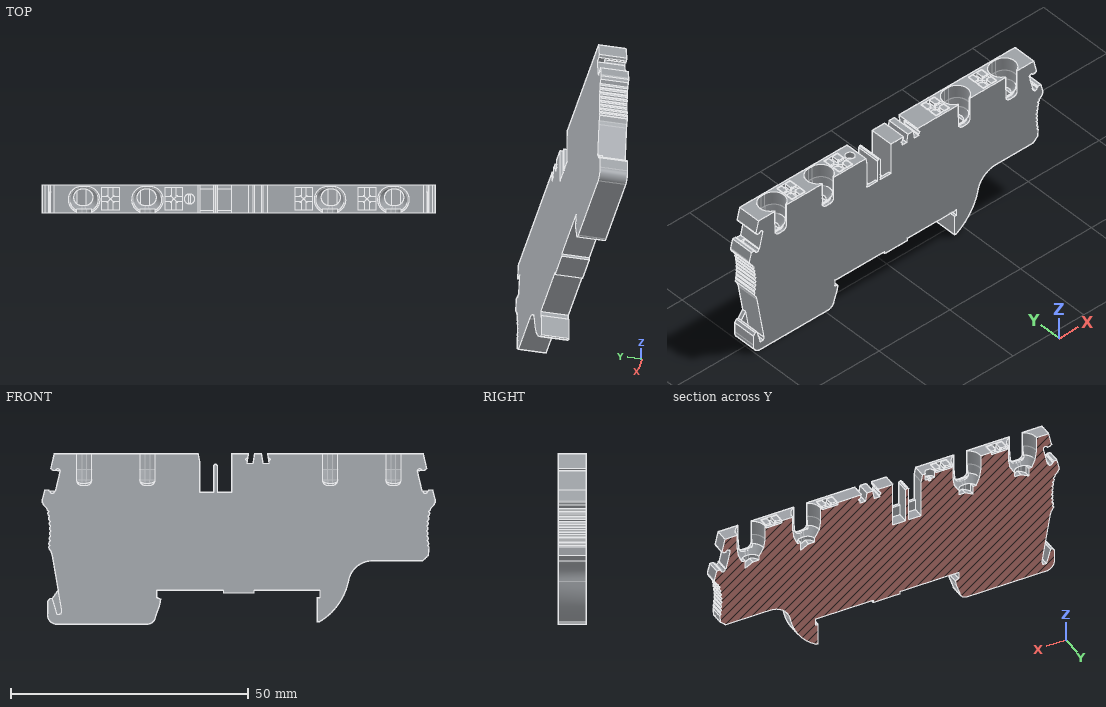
import cadquery as cq
import math

length = 83.0
thickness = 6.0
height = 36.0
end = length / 2
front_y = -thickness / 2
back_y = thickness / 2

grip_top_z = 24.5
grip_bottom_z = 16.3
grip_top_inset = 1.0
grip_bottom_inset = 1.3
grip_hollow = 0.4
tooth_count = 8
tooth_depth = 0.25
tooth_land = 0.35

jaw_profile = [
    (2.6, height), (1.8, 32.9), (2.3, 32.5), (3.8, 32.4), (2.8, 28.15),
    (1.5, 28.15), (1.4, 28.4), (0.6, 28.4), (0.0, 26.15), (0.0, 25.8), (0.3, 25.15),
]
jaw_relief_diameter = 0.9
jaw_relief_centers = [(3.3, 32.4), (2.2, 28.1)]

web = 1.5

rail_z = 7.1
rail_pad_z = 6.6
rail_pad_half = 3.2
lip_z = 5.65
right_floor_z = 13.4

slot_left = -8.2
slot_right = -1.5
slot_floor_z = 27.9
slot_lead = 0.3
slot_lead_depth = 1.7
well_front_wall = 0.6
well_back_wall = 0.9
well_depth = 2.5
blade_x = -4.9
blade_width = 0.8
blade_top_z = 33.8
blade_chamfer = 0.29

groove_center_x = 4.1
groove_rib = 1.5
groove_width = 1.25
groove_lean = 0.3
groove_depth = 2.1
groove_notch = 0.7
groove_notch_half = 0.7
groove_notch_z = 34.8

socket_offsets = [19.3, 32.6]
socket_y = -0.2
socket_size = (6.65, 5.65)
neck_size = (6.0, 5.0)
throat_size = (4.1, 3.5)
funnel_z = 32.6
neck_z = 30.5
throat_z = 28.65
throat_y = 0.3
throat_shift = 0.2
throat_ledge = 0.75
throat_crest = 0.6
throat_shallow = 1.0
throat_deep = 2.0
window_width = 3.15
window_depth = 6.7
window_corner = 1.1
window_inner_y = -2.2

entry_offset = 5.6
entry_length = 3.7
entry_width = 4.7
entry_depth = 0.2
arm_width = 1.0
arm_flare = 1.5
long_arm_depth = 1.0
short_arm_depth = 0.6

test_hole_x = -10.4
test_hole_diameter = 2.2
test_hole_depth = 1.7
test_slit_width = 0.5
test_slit_length = 1.75
test_slit_depth = 0.5

slit_web = 1.0
slit_top_z = 7.2
slit_mouth_x = -39.35
slit_mouth_z = 5.5
foot_x = -40.35
flank_top = (-39.35, 14.45)
flank_bottom = (-37.4, 2.8)


def grip_point(t, depth):
    """Point (inset, z) at fraction t down the grip, cut in by the given depth."""
    inset = grip_top_inset + (grip_bottom_inset - grip_top_inset) * t
    inset += grip_hollow * math.sin(math.pi * t) + depth
    return (inset, grip_top_z + (grip_bottom_z - grip_top_z) * t)


def grip_profile():
    """Teeth from top to bottom: a narrow land followed by a V-shaped valley."""
    points = []
    for i in range(tooth_count):
        points.append(grip_point(i / tooth_count, 0))
        points.append(grip_point((i + tooth_land) / tooth_count, 0))
        points.append(grip_point((i + (1 + tooth_land) / 2) / tooth_count, tooth_depth))
    points.append(grip_point(1, 0))
    return points


def end_points(side):
    """Jaw and grip of one end, from the top downwards."""
    return [(side * (end - inset), z) for inset, z in jaw_profile + grip_profile()]


def prism(sketch, y_from, y_to):
    """Extrude a closed XZ sketch between two Y positions."""
    return sketch.extrude(y_from - y_to).translate((0, y_from, 0))


def xz_polygon(points):
    return cq.Workplane("XZ").polyline(points).close()


def box(x_from, x_to, y_from, y_to, z_from, z_to):
    size = (x_to - x_from, y_to - y_from, z_to - z_from)
    return cq.Workplane("XY").box(*size, centered=False).translate((x_from, y_from, z_from))


def flank_x(z):
    """X of the leaning left flank, which runs on into the foot slit."""
    slope = (flank_bottom[0] - flank_top[0]) / (flank_bottom[1] - flank_top[1])
    return flank_top[0] + slope * (z - flank_top[1])


def housing():
    left = end_points(-1)
    sketch = (
        cq.Workplane("XZ")
        .polyline(left[::-1] + end_points(1))
        .lineTo(40.0, 14.5)
        .lineTo(38.8, right_floor_z)
        .lineTo(27.9, right_floor_z)
        .threePointArc((24.7, 11.95), (23.2, 9.05))
        .threePointArc((21.0, 4.15), (17.0, 0.5))
        .lineTo(16.5, 0.5)
        .lineTo(16.5, lip_z)
        .lineTo(17.1, lip_z)
        .lineTo(17.1, rail_z)
        .lineTo(rail_pad_half, rail_z)
        .lineTo(rail_pad_half, rail_pad_z)
        .lineTo(-rail_pad_half, rail_pad_z)
        .lineTo(-rail_pad_half, rail_z)
        .lineTo(-17.3, rail_z)
        .lineTo(-17.3, lip_z)
        .lineTo(-16.4, 5.3)
        .lineTo(-16.7, 4.0)
        .lineTo(-17.5, 1.7)
        .threePointArc((-18.1, 0.5), (-19.35, 0.0))
        .lineTo(-38.6, 0.0)
        .threePointArc((-39.85, 0.7), (foot_x, 2.3))
        .lineTo(foot_x, 4.8)
        .lineTo(-39.85, slit_mouth_z)
        .lineTo(slit_mouth_x, slit_mouth_z)
        .lineTo(flank_x(slit_top_z), slit_top_z)
        .lineTo(*flank_top)
        .lineTo(-39.6, 15.3)
        .close()
    )
    return prism(sketch, back_y, front_y)


def foot_slit():
    points = [
        (flank_x(slit_top_z), slit_top_z), flank_bottom, (-37.5, 2.2), (-38.4, 2.1),
        (slit_mouth_x, slit_mouth_z), (slit_mouth_x, slit_top_z),
    ]
    return prism(xz_polygon(points), back_y - slit_web, front_y)


def jaw_reliefs():
    centers = [(side * (end - inset), z) for side in (-1, 1) for inset, z in jaw_relief_centers]
    sketch = cq.Workplane("XZ").pushPoints(centers).circle(jaw_relief_diameter / 2)
    return prism(sketch, back_y - web, front_y)


def bridge_slot():
    points = [
        (slot_left - slot_lead, height), (slot_left, height - slot_lead_depth),
        (slot_left, slot_floor_z), (slot_right, slot_floor_z), (slot_right, height),
    ]
    opening = prism(xz_polygon(points), back_y, front_y)
    well = box(
        slot_left, slot_right, front_y + well_front_wall, back_y - well_back_wall,
        slot_floor_z - well_depth, slot_floor_z,
    )
    return opening.union(well)


def blade():
    body = box(
        blade_x - blade_width / 2, blade_x + blade_width / 2, front_y, back_y,
        slot_floor_z - well_depth, blade_top_z,
    )
    return body.edges("|Y and >Z").chamfer(blade_chamfer)


def marker_groove(side):
    """Groove leaning away from the rib, with a notch in its outer wall that stops at a web."""
    inner = groove_center_x + side * groove_rib / 2
    outer = inner + side * groove_width
    floor = height - groove_depth
    lean = side * groove_lean
    points = [(inner, height), (inner + lean, floor), (outer + lean, floor), (outer, height)]
    groove = prism(xz_polygon(points), back_y, front_y)
    notch_points = [
        (outer, groove_notch_z - groove_notch_half),
        (outer + side * groove_notch, groove_notch_z),
        (outer, groove_notch_z + groove_notch_half),
    ]
    return groove.union(prism(xz_polygon(notch_points), back_y - web, front_y))


def funnel(x, top_size, bottom_size, top_z, bottom_z, shift):
    """Tapered oval between two heights; shift moves the lower oval in X and Y."""
    return (
        cq.Workplane("XY", origin=(x, socket_y, top_z))
        .slot2D(*top_size)
        .workplane(offset=bottom_z - top_z)
        .center(*shift)
        .slot2D(*bottom_size)
        .loft()
    )


def socket(x, side):
    """Oval funnel with an inclined throat floor and a window through the front face."""
    throat_x = x + side * throat_shift
    throat_shift_xy = (side * throat_shift, throat_y - socket_y)
    straight = (
        cq.Workplane("XY", origin=(x, socket_y, funnel_z))
        .slot2D(*socket_size)
        .extrude(height - funnel_z)
    )
    upper = funnel(x, socket_size, neck_size, funnel_z, neck_z, (0, 0))
    lower = funnel(x, neck_size, throat_size, neck_z, throat_z, throat_shift_xy)
    throat = (
        cq.Workplane("XY", origin=(throat_x, throat_y, throat_z))
        .slot2D(*throat_size)
        .extrude(-throat_deep)
    )
    inner_edge = throat_x - side * throat_size[0] / 2
    outer_edge = throat_x + side * (throat_size[0] / 2 - throat_ledge)
    crest = throat_x - side * throat_crest
    floor = (
        cq.Workplane("XZ")
        .moveTo(inner_edge, throat_z)
        .lineTo(inner_edge, throat_z - throat_shallow)
        .lineTo(crest, throat_z - throat_shallow)
        .lineTo(outer_edge, throat_z - throat_deep)
        .lineTo(outer_edge, throat_z)
        .close()
    )
    throat = throat.intersect(prism(floor, back_y, front_y))
    window = box(
        x - window_width / 2, x + window_width / 2, front_y, window_inner_y,
        height - window_depth, height,
    ).edges("|Y and <Z").fillet(window_corner)
    return straight.union(upper).union(lower).union(throat).union(window)


def entry_arm(reach, depth, angle):
    """Arm from the centre of an entry to its border, with a flared pointed inner end."""
    half = arm_width / 2
    flare = arm_flare / 2
    points = [
        (0, 0), (flare, flare), (half, flare), (half, reach),
        (-half, reach), (-half, flare), (-flare, flare),
    ]
    arm = cq.Workplane("XY").polyline(points).close().extrude(-depth)
    return arm.rotate((0, 0, 0), (0, 0, 1), angle)


def wire_entry(x):
    cutter = cq.Workplane("XY").rect(entry_length, entry_width).extrude(-entry_depth)
    for turn in (0, 180):
        cutter = cutter.union(entry_arm(entry_width / 2, long_arm_depth, turn))
        cutter = cutter.union(entry_arm(entry_length / 2, short_arm_depth, turn + 90))
    return cutter.translate((x, 0, height))


def test_hole():
    floor = height - test_hole_depth
    hole = cq.Workplane("XY", origin=(test_hole_x, 0, height)).circle(test_hole_diameter / 2)
    hole = hole.extrude(-test_hole_depth)
    slit = (
        cq.Workplane("XY", origin=(test_hole_x, 0, floor))
        .rect(test_slit_width, test_slit_length)
        .extrude(-test_slit_depth)
    )
    return hole.union(slit)


result = housing().cut(foot_slit()).cut(jaw_reliefs())
result = result.cut(bridge_slot()).union(blade())
for side in (-1, 1):
    result = result.cut(marker_groove(side))
    for offset in socket_offsets:
        result = result.cut(socket(side * offset, side))
        result = result.cut(wire_entry(side * (offset - entry_offset)))
result = result.cut(test_hole())